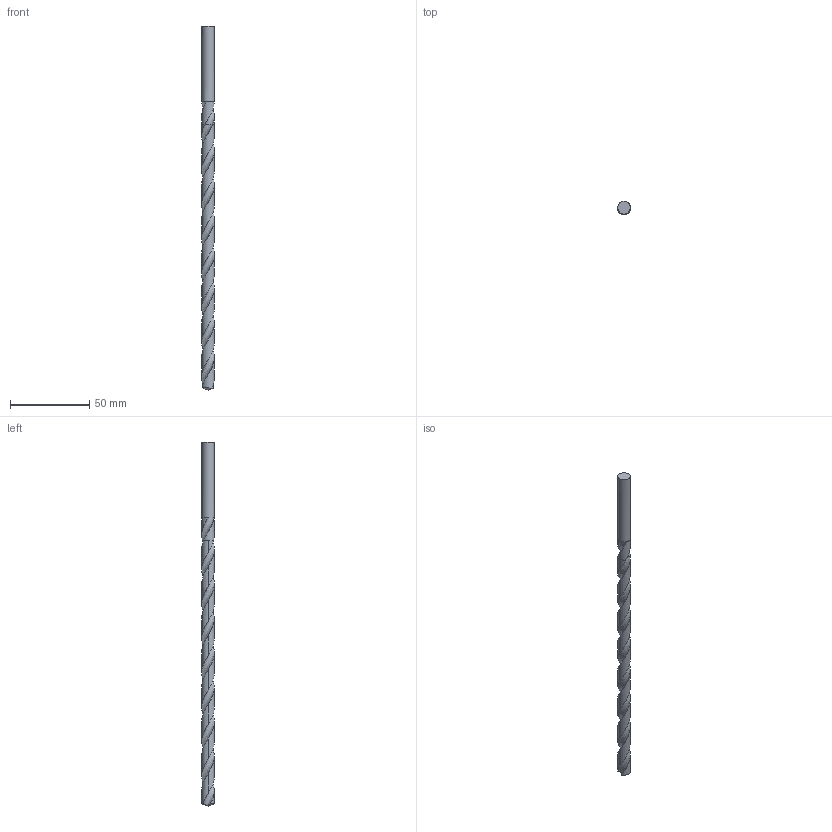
import cadquery as cq
import math

diameter = 8.0
overall_length = 230.0
shank_length = 48.0
cutting_length = 168.0
point_angle = 140.0
helix_angle = 30.0

flute_count = 2
flute_opening = 77.0
core_radius = 1.2
flute_phase = 152.0
mouth_clearance = 0.6
cutter_overrun = 5.0

radius = diameter / 2
flute_end = overall_length - shank_length
point_height = radius / math.tan(math.radians(point_angle / 2))
lead = math.pi * diameter / math.tan(math.radians(helix_angle))

half_opening = math.radians(flute_opening / 2)
edge_half_width = radius * math.sin(half_opening)
edge_depth = radius * math.cos(half_opening) - core_radius
flute_radius = (edge_depth**2 + edge_half_width**2) / (2 * edge_depth)
flute_center = core_radius + flute_radius
mouth = radius + mouth_clearance
mouth_half_width = math.sqrt(flute_radius**2 - (mouth - flute_center) ** 2)


def cut_flutes(body, bottom, top):
    """Cut the right-hand helical flutes between two heights; all stretches share one helix."""
    start = bottom - cutter_overrun
    length = top + cutter_overrun - start
    cutter = (
        cq.Workplane("XY")
        .moveTo(mouth, -mouth_half_width)
        .threePointArc((core_radius, 0), (mouth, mouth_half_width))
        .close()
        .twistExtrude(length, 360 * length / lead)
        .translate((0, 0, start))
    )
    start_direction = flute_phase + 360 * start / lead
    for index in range(flute_count):
        direction = start_direction + index * 360 / flute_count
        body = body.cut(cutter.rotate((0, 0, 0), (0, 0, 1), direction))
    return body


def cylinder(bottom, top):
    return cq.Workplane("XY").workplane(offset=bottom).circle(radius).extrude(top - bottom)


def make_cutting_head():
    """Fluted lower body with a conical point."""
    half_outline = (
        cq.Workplane("XZ")
        .moveTo(0, 0)
        .lineTo(-radius, point_height)
        .lineTo(-radius, cutting_length)
        .lineTo(0, cutting_length)
        .close()
    )
    blank = half_outline.revolve(360, (0, 0, 0), (0, 1, 0))
    return cut_flutes(blank, 0, cutting_length)


def make_shank():
    """Upper body: a short neck where the flutes run out square, then the plain grip."""
    neck = cut_flutes(cylinder(cutting_length, flute_end), cutting_length, flute_end)
    grip = cylinder(flute_end, overall_length)
    return neck.union(grip, clean=False)


cutting_head = make_cutting_head()
shank = make_shank()

result = cq.Compound.makeCompound([cutting_head.solids().val(), shank.solids().val()])